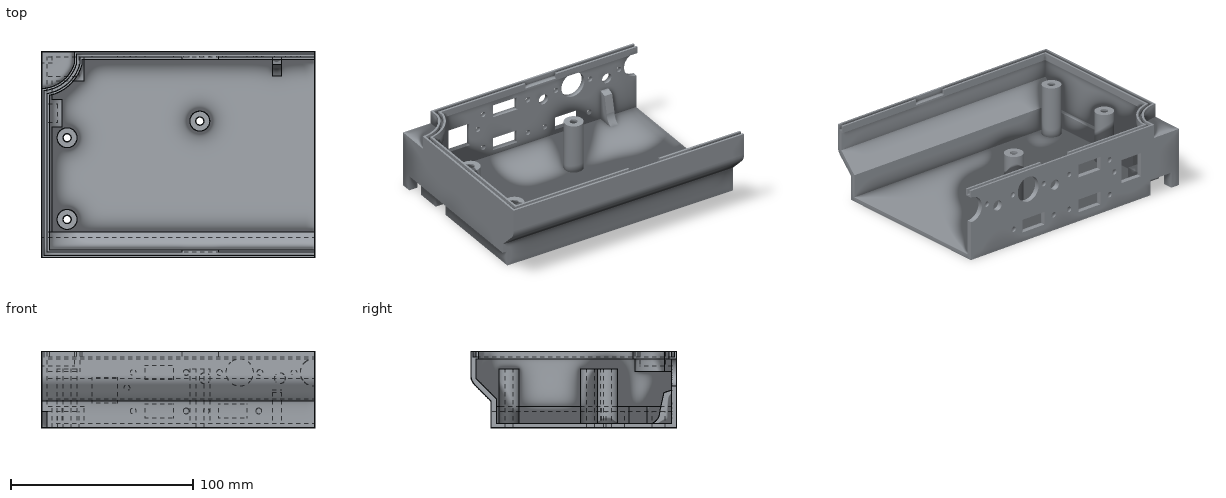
import math

import cadquery as cq

length = 150.0
width = 113.0
height = 42.0
wall = 3.0
skin = 2.5

base_inset = 11.1
base_height = 14.7
bend_radius = 7.2
bend_height = base_height + base_inset

lip_width = 4.2
lip_depth = 4.0
groove_start = 1.2
groove_end = wall
groove_depth = 3.0
lip_gap_start = 77.0
lip_gap_length = 20.0

corner_x = 18.0
corner_depth = 8.0
corner_centre_x = -0.6
corner_centre_y = 112.2
corner_radius = 19.3
corner_plate = 3.0

recess_depth = 3.0
recess_height = 9.1
foot_length = 5.5
foot_start_y = 106.8
corner_pocket_start_y = 99.4
corner_pocket_end_x = 20.5
side_pocket_start_y = 74.2
side_pocket_end_y = 84.4
side_pocket_end_x = 8.7

post_diameter = 11.0
post_hole_diameter = 4.3
post_top = 32.2
post_centres = [(86.8, 75.0), (14.0, 65.8), (14.0, 21.0)]

screw_hole_diameter = 3.1
upper_screw_z = 30.5
upper_screw_x = [50.2, 79.3, 97.6, 119.8, 138.5]
lower_screw_z = 9.3
lower_screw_x = [50.2, 79.3, 90.4, 119.2]
port_screw = (46.8, 22.0)
light_hole_diameter = 6.0
light_hole_z = 27.3
light_hole_x = [89.5, 130.8]
round_port_diameter = 15.0
round_port_z = upper_screw_z
round_port_x = [108.7, 149.5]
slot_length = 15.7
slot_height = 7.6
slot_centres = [(64.6, upper_screw_z), (64.6, lower_screw_z), (104.8, lower_screw_z)]
square_port_side = 14.0
square_port_centre = (34.6, 20.7)

rib_start_x = 126.7
rib_thickness = 5.0
rib_top_z = 20.7
rib_shoulder = (106.0, 19.3)
rib_waist = (103.8, 9.0)
rib_toe_y = 99.9
rib_hollow = (102.5, 5.0)


def block(x_range, y_range, z_range):
    """Box spanning the given (start, end) ranges."""
    sizes = [end - start for start, end in (x_range, y_range, z_range)]
    corner = (x_range[0], y_range[0], z_range[0])
    return cq.Workplane("XY").box(*sizes, centered=False).translate(corner)


def side_profile(inset, bottom):
    """Cross-section across Y, with its walls moved inwards by inset."""
    kink_rise = inset * math.tan(math.pi / 8)
    return (
        cq.Workplane("YZ", origin=(inset, 0, 0))
        .moveTo(width - inset, bottom)
        .lineTo(width - inset, height)
        .lineTo(inset, height)
        .lineTo(inset, bend_height + kink_rise)
        .lineTo(base_inset + inset, base_height + kink_rise)
        .lineTo(base_inset + inset, bottom)
        .close()
        .extrude(length - inset)
    )


def corner_area(offset, bottom):
    """Corner step up to the top, with its two inner sides moved outwards by offset."""
    radius = corner_radius + offset
    flat_x = corner_x + offset
    flat_end_y = corner_centre_y - math.sqrt(radius**2 - (flat_x - corner_centre_x) ** 2)
    left_y = corner_centre_y - math.sqrt(radius**2 - corner_centre_x**2)
    middle_angle = math.pi / 4
    middle_x = corner_centre_x + radius * math.cos(middle_angle)
    middle_y = corner_centre_y - radius * math.sin(middle_angle)
    return (
        cq.Workplane("XY", origin=(0, 0, bottom))
        .moveTo(0, width)
        .lineTo(flat_x, width)
        .lineTo(flat_x, flat_end_y)
        .threePointArc((middle_x, middle_y), (0, left_y))
        .close()
        .extrude(height - bottom)
    )


def rim_area(offset, bottom):
    """Everything inside the rim outline moved inwards by offset, from bottom to the top."""
    area = block((offset, length), (offset, width - offset), (bottom, height))
    return area.cut(corner_area(offset, bottom))


def back_holes(diameter, centres):
    """Round cutters through the back wall."""
    return (
        cq.Workplane("XZ", origin=(0, width, 0))
        .pushPoints(centres)
        .circle(diameter / 2)
        .extrude(wall)
    )


def back_slots(size_x, size_z, centres):
    """Rectangular cutters through the back wall."""
    return (
        cq.Workplane("XZ", origin=(0, width, 0))
        .pushPoints(centres)
        .rect(size_x, size_z)
        .extrude(wall)
    )


bend_edge = cq.selectors.NearestToPointSelector((length / 2, 0, bend_height))
outer = side_profile(0, 0).edges(bend_edge).fillet(bend_radius)

step_z = height - corner_depth
lip_z = height - lip_depth
cavity = side_profile(wall, skin)
cavity = cavity.cut(corner_area(wall, step_z - corner_plate))
lip = rim_area(wall, lip_z).cut(rim_area(lip_width, lip_z))
body = outer.cut(cavity).union(lip)
body = body.cut(corner_area(0, step_z))

groove_z = height - groove_depth
body = body.cut(rim_area(groove_start, groove_z).cut(rim_area(groove_end, groove_z)))
gap_x = (lip_gap_start, lip_gap_start + lip_gap_length)
body = body.cut(block(gap_x, (groove_end, width - groove_end), (groove_z, height)))

hollow_height = recess_height + skin
hollows = [
    (recess_depth, base_inset, foot_start_y),
    (side_pocket_end_x, side_pocket_start_y, side_pocket_end_y),
    (corner_pocket_end_x, corner_pocket_start_y, width),
]
for end_x, start_y, end_y in hollows:
    cover_y = (max(start_y - skin, base_inset), min(end_y + skin, width))
    body = body.union(block((0, end_x + skin), cover_y, (0, hollow_height)))
for end_x, start_y, end_y in hollows:
    body = body.cut(block((0, end_x), (start_y, end_y), (0, recess_height)))
body = body.union(block((0, foot_length), (foot_start_y, width), (0, recess_height)))

posts = cq.Workplane("XY").pushPoints(post_centres).circle(post_diameter / 2).extrude(post_top)
post_holes = cq.Workplane("XY").pushPoints(post_centres).circle(post_hole_diameter / 2)
body = body.union(posts).cut(post_holes.extrude(post_top))

screws = [(x, upper_screw_z) for x in upper_screw_x]
screws += [(x, lower_screw_z) for x in lower_screw_x]
screws.append(port_screw)
body = body.cut(back_holes(screw_hole_diameter, screws))
body = body.cut(back_holes(light_hole_diameter, [(x, light_hole_z) for x in light_hole_x]))
body = body.cut(back_holes(round_port_diameter, [(x, round_port_z) for x in round_port_x]))
body = body.cut(back_slots(slot_length, slot_height, slot_centres))
body = body.cut(back_slots(square_port_side, square_port_side, [square_port_centre]))

rib_back_y = width - wall
rib = (
    cq.Workplane("YZ", origin=(rib_start_x, 0, 0))
    .moveTo(rib_back_y, skin)
    .lineTo(rib_back_y, rib_top_z)
    .lineTo(*rib_shoulder)
    .lineTo(*rib_waist)
    .threePointArc(rib_hollow, (rib_toe_y, skin))
    .close()
    .extrude(rib_thickness)
)
result = body.union(rib)